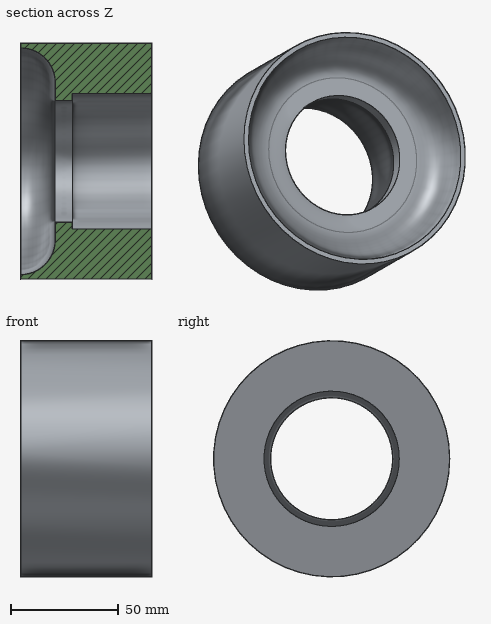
import cadquery as cq

width = 61.0
outer_diameter = 110.0

dish_depth = 16.0
dish_floor_diameter = 73.5

lip_diameter = 56.7
lip_length = 8.0
bore_diameter = 63.0

outer_radius = outer_diameter / 2
floor_radius = dish_floor_diameter / 2
dish_rim_radius = floor_radius + dish_depth
lip_radius = lip_diameter / 2
bore_radius = bore_diameter / 2

front_x = -width / 2
back_x = width / 2
floor_x = front_x + dish_depth
lip_end_x = floor_x + lip_length


def ring_half_section():
    """Half section in the XY plane, with Y as the radius from the X axis."""
    return (
        cq.Workplane("XY")
        .moveTo(front_x, outer_radius)
        .lineTo(front_x, dish_rim_radius)
        .radiusArc((floor_x, floor_radius), dish_depth)
        .lineTo(floor_x, lip_radius)
        .lineTo(lip_end_x, lip_radius)
        .lineTo(lip_end_x, bore_radius)
        .lineTo(back_x, bore_radius)
        .lineTo(back_x, outer_radius)
        .close()
    )


full_turn = 360
axis_start = (0, 0, 0)
axis_end = (1, 0, 0)
result = ring_half_section().revolve(full_turn, axis_start, axis_end)